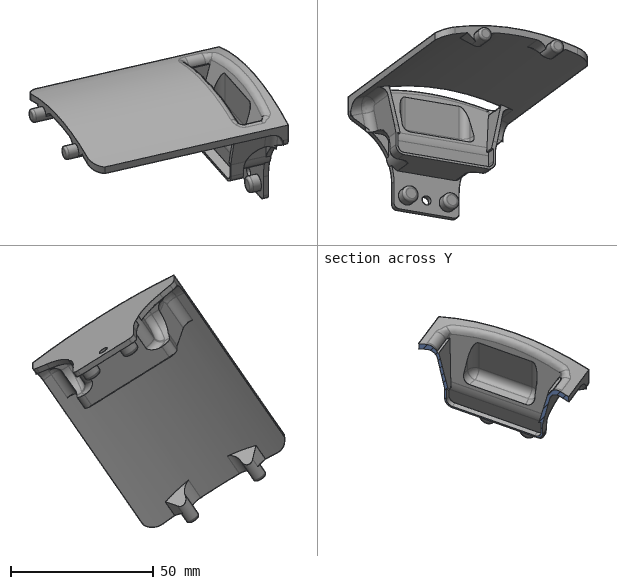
import cadquery as cq
import math

FAR = 63.6

WIDTH = 59.4
TOTAL_DEPTH = 79.5
TOTAL_HEIGHT = 44.7
PLATE_DEPTH = 74.9
CROWN_DROP = 5.1
PLATE_THICKNESS = 2.55
FRONT_CORNER_WIDTH = 5.8
FRONT_CORNER_DEPTH = 4.1
FRONT_CORNER_RADIUS = (FRONT_CORNER_WIDTH**2 + FRONT_CORNER_DEPTH**2) / (2 * FRONT_CORNER_DEPTH)
HALF_WIDTH = WIDTH / 2
CROWN_RADIUS = (HALF_WIDTH**2 + CROWN_DROP**2) / (2 * CROWN_DROP)
UNDERSIDE_RADIUS = CROWN_RADIUS - PLATE_THICKNESS

BACK_THICKNESS = 2.0
EAR_CORNER = 3.2
TAB_HALF_WIDTH = 12.7
TAB_CORNER = 2.0
NECK_RADIUS = 21.5
NECK_LOW = -34.9
NECK_TURN = math.radians(61)
BACK_FILLET = 4.8

BOWL_BOTTOM = -30.5
BOWL_KNEE = -22.65
BOWL_HALF = 19.5
BOWL_SLOPE = 0.21
BOWL_CORNER = 3.2
BOWL_FRONT = 17.6
BOWL_FRONT_TOP = 16.85
BOWL_FRONT_KNEE = -19.9
LIP = 0.9
WALL_FILLET = 3.1

RECESS_TOP_Y = 4.7
RECESS_LEAN = 0.4
RECESS_FOOT_Y = 13.6
RECESS_BEND = (RECESS_TOP_Y - RECESS_FOOT_Y) / RECESS_LEAN
RECESS_BEND_RADIUS = 8.75
RECESS_KNEE_HALF = 17.8
RECESS_SLOPE = 0.23

CORE_HALF = 14.8
CORE_OVERLAP = 0.4
CORE_CORNER = 5.6
FLANGE_BACK = 12.7
UNDERCUT_TOP = -17.8
UNDERCUT_RADIUS = 8.4
UNDERCUT_FILLET = 2.7

OPENING_HALF = 22.65
OPENING_FRONT = 15.6
OPENING_CORNER = 0.8
RIM_FILLET = 3.0
RIM_DEPTH = 3.3
RIM_BLOCK_DEPTH = 11.1

WINDOW_BACK_HALF = 13.2
WINDOW_FRONT_HALF = 14.4
WINDOW_BOTTOM = -19.5
WINDOW_TOP = -2.4
WINDOW_BACK = 6.35
WINDOW_FILLET = 3.2
WINDOW_FLOOR_FILLET = 3.0

HINGE_X = 14.1
HINGE_Z = -5.7
HINGE_RADIUS = 2.5
HINGE_ROUND = 0.9
BOSS_BACK = 72.35
BOSS_OUTER = 19.1
BOSS_OUTER_MID = (17.2, -6.3)
BOSS_INNER = 7.15
BOSS_INNER_MID = (10.5, -4.1)
TAB_PIN_X = 7.95
TAB_PIN_RADIUS = 3.0
TAB_PIN_END = 6.1
TAB_PIN_ROUND = 1.0
TAB_HOLE_Z = -39.75
TAB_HOLE_RADIUS = 1.7


def arc_z(radius, x):
    """Height of a lid arc of the given radius; all lid arcs share one centre."""
    return math.sqrt(radius**2 - x**2) - CROWN_RADIUS


def extrude_y(outline, start, end):
    """Extrude an outline in the XZ plane forward, from depth start to depth end."""
    return outline.extrude(end - start).translate((0, -start, 0))


def side_profile(points):
    """Extrude a closed YZ outline across the full width."""
    return cq.Workplane("YZ").polyline(points).close().extrude(FAR, both=True)


def under_crown(bottom, depth):
    """Block as wide as the lid, domed on top and flat at the given bottom."""
    edge = arc_z(CROWN_RADIUS, HALF_WIDTH)
    outline = (
        cq.Workplane("XZ")
        .moveTo(-HALF_WIDTH, bottom)
        .lineTo(-HALF_WIDTH, edge)
        .threePointArc((0, 0), (HALF_WIDTH, edge))
        .lineTo(HALF_WIDTH, bottom)
        .close()
    )
    return extrude_y(outline, 0, depth)


def lid_cylinder(radius):
    """Full cylinder about the lid's axis, as long as the plate."""
    return extrude_y(cq.Workplane("XZ").center(0, -CROWN_RADIUS).circle(radius), 0, PLATE_DEPTH)


def lid_plate():
    slab = under_crown(-RIM_BLOCK_DEPTH, PLATE_DEPTH).cut(lid_cylinder(UNDERSIDE_RADIUS))
    corner_x = HALF_WIDTH - FRONT_CORNER_WIDTH
    corner_y = FRONT_CORNER_DEPTH - PLATE_DEPTH
    turn = math.asin(FRONT_CORNER_WIDTH / FRONT_CORNER_RADIUS) / 2
    mid_x = corner_x + FRONT_CORNER_RADIUS * math.sin(turn)
    mid_y = FRONT_CORNER_RADIUS * (1 - math.cos(turn)) - PLATE_DEPTH
    plan = (
        cq.Workplane("XY")
        .moveTo(-HALF_WIDTH, 0)
        .lineTo(-HALF_WIDTH, corner_y)
        .threePointArc((-mid_x, mid_y), (-corner_x, -PLATE_DEPTH))
        .lineTo(corner_x, -PLATE_DEPTH)
        .threePointArc((mid_x, mid_y), (HALF_WIDTH, corner_y))
        .lineTo(HALF_WIDTH, 0)
        .close()
        .extrude(FAR, both=True)
    )
    return slab.intersect(plan)


def neck_point(angle):
    """Point on the +X neck arc, by its angle above the arc's lower end."""
    x = TAB_HALF_WIDTH + NECK_RADIUS * (1 - math.cos(angle))
    return x, NECK_LOW + NECK_RADIUS * math.sin(angle)


def back_plate(thickness):
    """Ears, neck and tab in one outline, extruded forward from the back face."""
    turn_x, turn_z = neck_point(NECK_TURN)
    mid_x, mid_z = neck_point(NECK_TURN / 2)
    ear_z = turn_z + (HALF_WIDTH - turn_x) / math.tan(NECK_TURN)
    edge = arc_z(CROWN_RADIUS, HALF_WIDTH)
    outline = (
        cq.Workplane("XZ")
        .moveTo(-HALF_WIDTH, edge)
        .threePointArc((0, 0), (HALF_WIDTH, edge))
        .lineTo(HALF_WIDTH, ear_z)
        .lineTo(turn_x, turn_z)
        .threePointArc((mid_x, mid_z), (TAB_HALF_WIDTH, NECK_LOW))
        .lineTo(TAB_HALF_WIDTH, -TOTAL_HEIGHT)
        .lineTo(-TAB_HALF_WIDTH, -TOTAL_HEIGHT)
        .lineTo(-TAB_HALF_WIDTH, NECK_LOW)
        .threePointArc((-mid_x, mid_z), (-turn_x, turn_z))
        .lineTo(-HALF_WIDTH, ear_z)
        .close()
    )
    plate = extrude_y(outline, 0, thickness)
    plate = plate.edges("|Y and <Z").fillet(TAB_CORNER)
    ears = cq.selectors.BoxSelector((-FAR, -FAR, ear_z - 0.8), (FAR, FAR, ear_z + 0.8))
    return plate.edges("|Y").edges(ears).fillet(EAR_CORNER)


def flare(knee_half, slope, depth):
    """Upper part of a bowl section, widening from the knee up to the crown."""
    top_half = knee_half - BOWL_KNEE * slope
    outline = cq.Workplane("XZ").polyline([
        (-knee_half, BOWL_KNEE),
        (knee_half, BOWL_KNEE),
        (top_half, 0),
        (-top_half, 0),
    ]).close()
    return extrude_y(outline, 0, depth)


def trough(half, bottom, corner):
    """Lower part of a bowl section: straight sides and rounded bottom corners."""
    block = cq.Workplane("XY").box(
        2 * half, BOWL_FRONT, BOWL_KNEE - bottom, centered=(True, False, False)
    )
    return block.translate((0, -BOWL_FRONT, bottom)).edges("|Y and <Z").fillet(corner)


def recess_space():
    """Everything in front of the leaning recess wall and its upright foot."""
    space = side_profile([
        (RECESS_LEAN * FAR - RECESS_TOP_Y, FAR),
        (-RECESS_FOOT_Y, RECESS_BEND),
        (-RECESS_FOOT_Y, -FAR),
        (-FAR, -FAR),
        (-FAR, FAR),
    ])
    bend = cq.selectors.NearestToPointSelector((0, -RECESS_FOOT_Y, RECESS_BEND))
    return space.edges("|X").edges(bend).fillet(RECESS_BEND_RADIUS)


def undercut():
    """Space to the +X side of the bowl core, behind its front flange."""
    arc_y = FLANGE_BACK - UNDERCUT_RADIUS
    arc_low = UNDERCUT_TOP - UNDERCUT_RADIUS
    swing = UNDERCUT_RADIUS * math.sqrt(0.5)
    space = (
        cq.Workplane("YZ")
        .moveTo(0, UNDERCUT_TOP)
        .lineTo(-arc_y, UNDERCUT_TOP)
        .threePointArc((-arc_y - swing, arc_low + swing), (-FLANGE_BACK, arc_low))
        .lineTo(-FLANGE_BACK, BOWL_BOTTOM)
        .lineTo(0, BOWL_BOTTOM)
        .close()
        .extrude(FAR)
    )
    core = (
        cq.Workplane("XY")
        .box(2 * CORE_HALF, FAR, FAR)
        .translate((0, 0, BOWL_BOTTOM - CORE_OVERLAP + FAR / 2))
        .edges("|Y and <Z and >X")
        .fillet(CORE_CORNER)
    )
    space = space.cut(core)
    root = cq.selectors.BoxSelector(
        (CORE_HALF - CORE_CORNER, -FLANGE_BACK - 0.8, BOWL_BOTTOM + 0.1), (CORE_HALF + 0.1, -0.8, 0)
    )
    rear = cq.selectors.BoxSelector((0, -0.1, -FAR), (FAR, 0.1, 0))
    return space.edges(cq.selectors.SubtractSelector(root, rear)).fillet(UNDERCUT_FILLET)


def bowl_depth():
    """Everything behind the slightly leaning front of the bowl."""
    return side_profile([
        (0, 0),
        (-BOWL_FRONT_TOP, 0),
        (-BOWL_FRONT, BOWL_FRONT_KNEE),
        (-BOWL_FRONT, -FAR),
        (0, -FAR),
    ])


def bowl_blends():
    """Fillets of the +X corner between the bowl side, back plate and plate underside."""
    corner = (
        cq.Workplane("XY")
        .box(HALF_WIDTH, PLATE_DEPTH - BACK_THICKNESS, -BOWL_KNEE, centered=(False, False, False))
        .translate((0, -PLATE_DEPTH, BOWL_KNEE))
        .intersect(lid_cylinder(UNDERSIDE_RADIUS))
        .cut(flare(BOWL_HALF, BOWL_SLOPE, PLATE_DEPTH))
        .solids(">X")
    )
    rear_arc = cq.selectors.BoxSelector(
        (BOWL_HALF, -BACK_THICKNESS - 0.1, -CROWN_DROP - PLATE_THICKNESS),
        (HALF_WIDTH - 0.8, 0, -CROWN_DROP),
    )
    rounded = corner.edges(rear_arc).fillet(BACK_FILLET)
    bowl_edges = cq.selectors.BoxSelector(
        (BOWL_HALF, 0.8 - PLATE_DEPTH, BOWL_KNEE + 0.8), (HALF_WIDTH - CROWN_DROP, 0, 0)
    )
    rounded = rounded.edges(bowl_edges).fillet(WALL_FILLET)
    return corner.cut(rounded).intersect(bowl_depth()).cut(undercut())


def bowl():
    """Bowl with its hand recess and the two side undercuts."""
    outer = flare(BOWL_HALF, BOWL_SLOPE, BOWL_FRONT).union(trough(BOWL_HALF, BOWL_BOTTOM, BOWL_CORNER))
    inner = flare(RECESS_KNEE_HALF, RECESS_SLOPE, BOWL_FRONT).union(
        trough(BOWL_HALF - LIP, BOWL_BOTTOM + LIP, BOWL_CORNER - LIP)
    )
    side = undercut()
    solid = outer.intersect(bowl_depth()).cut(inner.intersect(recess_space()))
    solid = solid.cut(side).cut(side.mirror("YZ"))
    return solid.intersect(under_crown(-FAR, FAR))


def opening():
    """Flared opening: what a domed block loses to a hole with a rounded rim."""
    block = under_crown(-RIM_BLOCK_DEPTH, PLATE_DEPTH)
    hole = (
        cq.Workplane("XY")
        .box(2 * OPENING_HALF, OPENING_FRONT, 2 * RIM_BLOCK_DEPTH)
        .translate((0, -OPENING_FRONT / 2, 0))
        .intersect(recess_space())
        .edges("(not |X) and (not |Y)")
        .fillet(OPENING_CORNER)
    )
    pierced = block.cut(hole)
    rim = cq.selectors.BoxSelector(
        (0.8 - HALF_WIDTH, -OPENING_FRONT - 0.8, -CROWN_DROP), (HALF_WIDTH - 0.8, -0.8, 0.8)
    )
    flared = block.cut(pierced.edges(rim).fillet(RIM_FILLET))
    return flared.cut(lid_cylinder(CROWN_RADIUS - RIM_DEPTH))


def window():
    """Finger window, widening toward the front, with rounded back and floor edges."""
    space = (
        cq.Workplane("XY")
        .polyline([
            (-WINDOW_BACK_HALF, -WINDOW_BACK),
            (WINDOW_BACK_HALF, -WINDOW_BACK),
            (WINDOW_FRONT_HALF, -RECESS_FOOT_Y),
            (-WINDOW_FRONT_HALF, -RECESS_FOOT_Y),
        ])
        .close()
        .extrude(WINDOW_TOP - WINDOW_BOTTOM)
        .translate((0, 0, WINDOW_BOTTOM))
    )
    space = space.edges("|Z and >Y").fillet(WINDOW_FILLET)
    return space.edges("<Z and (not <Y)").fillet(WINDOW_FLOOR_FILLET)


def pin(x, z, radius, start, end, rounding):
    """Forward-pointing pin with a rounded tip."""
    shaft = cq.Workplane("XZ").center(x, z).circle(radius)
    return extrude_y(shaft, start, end).faces("<Y").edges().fillet(rounding)


def hinge_boss():
    """Swelling under the front edge that carries the +X hinge pin."""
    def underside(x):
        return arc_z(UNDERSIDE_RADIUS, x)

    swing = HINGE_RADIUS * math.sqrt(0.5)
    outline = (
        cq.Workplane("XZ")
        .moveTo(HINGE_X + swing, HINGE_Z - swing)
        .threePointArc(BOSS_OUTER_MID, (BOSS_OUTER, underside(BOSS_OUTER)))
        .lineTo(BOSS_OUTER, underside(BOSS_OUTER) + 0.8)
        .lineTo(BOSS_INNER, underside(BOSS_INNER) + 0.8)
        .lineTo(BOSS_INNER, underside(BOSS_INNER))
        .threePointArc(BOSS_INNER_MID, (HINGE_X - HINGE_RADIUS, HINGE_Z))
        .close()
    )
    round_end = cq.Workplane("XZ").center(HINGE_X, HINGE_Z).circle(HINGE_RADIUS)
    boss = extrude_y(outline, 0, PLATE_DEPTH).union(extrude_y(round_end, 0, PLATE_DEPTH))
    low = HINGE_Z - HINGE_RADIUS
    ramp = side_profile([
        (-BOSS_BACK, low),
        (-BOSS_BACK - low, 0),
        (-PLATE_DEPTH, 0),
        (-PLATE_DEPTH, low),
    ])
    return boss.intersect(ramp).intersect(under_crown(-FAR, PLATE_DEPTH))


def side_features():
    """The +X pieces that are mirrored onto the other side."""
    hinge_pin = pin(HINGE_X, HINGE_Z, HINGE_RADIUS, BOSS_BACK, TOTAL_DEPTH, HINGE_ROUND)
    tab_pin = pin(TAB_PIN_X, TAB_HOLE_Z, TAB_PIN_RADIUS, 0, TAB_PIN_END, TAB_PIN_ROUND)
    return [bowl_blends(), hinge_boss(), hinge_pin, tab_pin]


tab_hole = cq.Workplane("XZ").center(0, TAB_HOLE_Z).circle(TAB_HOLE_RADIUS).extrude(BACK_THICKNESS)

body = lid_plate().union(back_plate(BACK_THICKNESS)).union(bowl())
body = body.cut(opening()).cut(window()).cut(tab_hole)
for feature in side_features():
    body = body.union(feature).union(feature.mirror("YZ"))
result = body